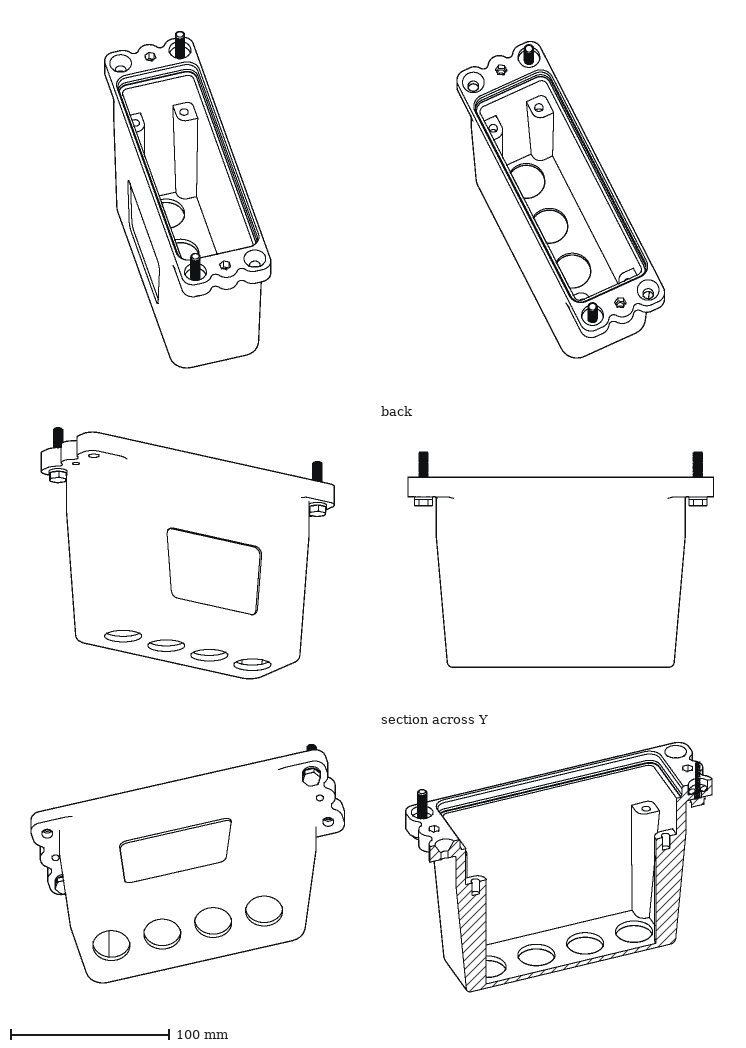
import cadquery as cq
import math


length = 193.0
width = 57.9
flange_thickness = 12.4
corner_radius = 7.1
lobe_center_x = length / 2 - corner_radius
boss_lobe_y = 17.2
notch_radius = 3.0

height = 120.0
box_half_length = 78.7
box_corner_radius = 11.0
taper_start_z = -36.7
taper = math.tan(math.radians(5.0))
bottom_fillet = 3.7
flange_fillet = 1.0

fixing_x = 86.7
fixing_y = 19.5
fixing_hole_diameter = 6.8
countersink_diameter = 13.7
countersink_depth = 7.0
ring_bore_depth = 7.7
hex_flats = 6.2
hex_depth = 6.2
hex_hole_diameter = 4.5

mouth_half_length = 76.6
mouth_half_width = 27.0
mouth_corner_radius = 8.1
lead_in_inset = 1.0
lead_in_depth = 1.5
mouth_wall_height = 4.8
seat_edge_inset = 0.8
seat_edge_depth = 1.2
seat_step = 0.5
pocket_half_length = 72.0
pocket_half_width = 23.4
pocket_corner_radius = 3.9
pocket_kink_z = -35.9
pocket_floor_z = -116.4
pocket_side_draft = 1.2
floor_hole_diameter = 23.4
floor_hole_pitch = 33.4
floor_hole_count = 4

boss_inner_x = 57.9
boss_inner_y = 10.6
boss_radius = 5.8
boss_hole_x = 65.0
boss_hole_y = 16.0
boss_hole_diameter = 5.2
boss_hole_depth = 9.6

label_top_z = -52.5
label_height = 46.0
label_top_width = 74.1
label_radius = 4.8
label_depth = 1.7

thread_diameter = 6.0
thread_root_diameter = 4.8
thread_pitch = 1.0
thread_crest_share = 1 / 8
thread_root_share = 1 / 4
screw_tip_z = 16.0
screw_tip_chamfer = 0.8
collar_diameter = 11.5
collar_thickness = 1.7
head_flats = 10.0
head_corners = head_flats / math.cos(math.pi / 6)
head_height = 5.8
head_chamfer = 0.4
ring_tube_radius = (countersink_diameter - thread_diameter) / 4
ring_center_radius = (countersink_diameter + thread_diameter) / 4

side_signs = (-1, 1)
screw_spots = [(-fixing_x, fixing_y), (fixing_x, -fixing_y)]
countersink_spots = [(-fixing_x, -fixing_y), (fixing_x, fixing_y)]


def cylinder(diameter, top_z, depth, x, y):
    """Vertical cylinder that runs down from top_z."""
    return cq.Workplane("XY", origin=(x, y, top_z)).circle(diameter / 2).extrude(-depth)


def edge_notch(x_sign, y_sign):
    """Notch in a flange end, between the middle lobe and a screw lobe, tangent to both."""
    center_y = boss_lobe_y / 2
    reach = math.sqrt((corner_radius + notch_radius) ** 2 - center_y ** 2)
    center_x = lobe_center_x + reach
    end_x = length / 2
    share = corner_radius / (corner_radius + notch_radius)
    tangent_x = lobe_center_x + share * reach
    lobe_tangent_y = share * center_y
    boss_tangent_y = boss_lobe_y - lobe_tangent_y
    half_turn = math.atan2(lobe_tangent_y, tangent_x - lobe_center_x) / 2
    lobe_mid_x = lobe_center_x + corner_radius * math.cos(half_turn)
    lobe_mid_y = corner_radius * math.sin(half_turn)

    def place(x, y):
        return (x_sign * x, y_sign * y)

    return (
        cq.Workplane("XY")
        .moveTo(*place(end_x, 0))
        .threePointArc(place(lobe_mid_x, lobe_mid_y), place(tangent_x, lobe_tangent_y))
        .threePointArc(place(center_x - notch_radius, center_y), place(tangent_x, boss_tangent_y))
        .threePointArc(place(lobe_mid_x, boss_lobe_y - lobe_mid_y), place(end_x, boss_lobe_y))
        .close()
        .extrude(-flange_thickness)
    )


def make_flange():
    plate = cq.Workplane("XY").rect(length, width).extrude(-flange_thickness)
    flange = plate.edges("|Z").fillet(corner_radius)
    for x_sign in side_signs:
        for y_sign in side_signs:
            flange = flange.cut(edge_notch(x_sign, y_sign))
    return flange


def make_box():
    """Box with upright ends above and tapered ends below, rounded all round."""
    foot_half_length = box_half_length - (height + taper_start_z) * taper
    box = (
        cq.Workplane("XZ", origin=(0, width / 2, 0))
        .polyline([
            (-box_half_length, -flange_thickness),
            (box_half_length, -flange_thickness),
            (box_half_length, taper_start_z),
            (foot_half_length, -height),
            (-foot_half_length, -height),
            (-box_half_length, taper_start_z),
        ])
        .close()
        .extrude(width)
    )
    box = box.faces("<Y or >Y").edges("not |X").fillet(box_corner_radius)
    return box.faces("<Z").edges().fillet(bottom_fillet)


def blend_under_flange(box):
    """Fillet the box all round into a wide plate of flange thickness, then trim it to the flange width."""
    reach = box_half_length + flange_fillet
    wide_plate = cq.Workplane("XY").rect(4 * reach, 4 * width).extrude(-flange_thickness)
    blended = wide_plate.union(box)
    joint_zone = cq.selectors.BoxSelector(
        (-reach, -width, -flange_thickness - flange_fillet),
        (reach, width, -flange_thickness + flange_fillet),
    )
    blended = blended.edges(joint_zone).edges("#Z").fillet(flange_fillet)
    trim = cq.Workplane("XY").rect(2 * reach, width).extrude(-height)
    return blended.intersect(trim)


def mouth_outline(inset):
    """Rounded rectangle that lies inside the top edge of the mouth by the inset."""
    outline = cq.Sketch().rect(2 * (mouth_half_length - inset), 2 * (mouth_half_width - inset))
    return outline.vertices().fillet(mouth_corner_radius - inset)


def taper_between(upper_outline, upper_z, lower_outline, lower_z):
    """Solid between two outlines, one above the other."""
    return cq.Workplane("XY").placeSketch(
        upper_outline.moved(cq.Location(cq.Vector(0, 0, upper_z))),
        lower_outline.moved(cq.Location(cq.Vector(0, 0, lower_z))),
    ).loft(ruled=True)


def make_mouth():
    """Stepped opening: lead-in, upright wall, sloped seat edge, then a short step down to the seat."""
    wall = mouth_outline(lead_in_inset)
    seat = mouth_outline(lead_in_inset + seat_edge_inset)
    wall_bottom = -lead_in_depth - mouth_wall_height
    seat_edge_bottom = wall_bottom - seat_edge_depth

    mouth = taper_between(mouth_outline(0), 0, wall, -lead_in_depth)
    mouth = mouth.union(taper_between(wall, -lead_in_depth, wall, wall_bottom))
    mouth = mouth.union(taper_between(wall, wall_bottom, seat, seat_edge_bottom))
    return mouth.union(taper_between(seat, seat_edge_bottom, seat, seat_edge_bottom - seat_step))


def make_boss(x_sign, y_sign):
    """Corner boss with a rounded inner edge, reaching into the walls behind it."""
    outer_x = box_half_length
    outer_y = width / 2
    boss = (
        cq.Workplane("XY", origin=(0, 0, pocket_kink_z))
        .polyline([
            (x_sign * boss_inner_x, y_sign * boss_inner_y),
            (x_sign * outer_x, y_sign * boss_inner_y),
            (x_sign * outer_x, y_sign * outer_y),
            (x_sign * boss_inner_x, y_sign * outer_y),
        ])
        .close()
        .extrude(pocket_floor_z - pocket_kink_z)
    )
    inner_edge = boss.edges("|Z").edges(cq.selectors.NearestToPointSelector(
        (x_sign * boss_inner_x, y_sign * boss_inner_y, (pocket_kink_z + pocket_floor_z) / 2)
    ))
    return inner_edge.fillet(boss_radius)


def make_pocket():
    """Inside of the box; the corner bosses are left standing in its tapered lower part."""
    floor_half_length = pocket_half_length - (pocket_kink_z - pocket_floor_z) * taper
    floor_half_width = pocket_half_width - pocket_side_draft
    lengthwise = (
        cq.Workplane("XZ", origin=(0, width / 2, 0))
        .polyline([
            (-pocket_half_length, 0),
            (pocket_half_length, 0),
            (pocket_half_length, pocket_kink_z),
            (floor_half_length, pocket_floor_z),
            (-floor_half_length, pocket_floor_z),
            (-pocket_half_length, pocket_kink_z),
        ])
        .close()
        .extrude(width)
    )
    crosswise = (
        cq.Workplane("YZ", origin=(-length / 2, 0, 0))
        .polyline([
            (-pocket_half_width, 0),
            (pocket_half_width, 0),
            (floor_half_width, pocket_floor_z),
            (-floor_half_width, pocket_floor_z),
        ])
        .close()
        .extrude(length)
    )
    pocket = lengthwise.intersect(crosswise)
    corner_edges = pocket.faces("<X or >X").edges("not |Y")
    pocket = corner_edges.fillet(pocket_corner_radius)
    for x_sign in side_signs:
        for y_sign in side_signs:
            pocket = pocket.cut(make_boss(x_sign, y_sign))
    return pocket


def cut_flange_holes(housing):
    """Countersunk holes, screw holes with ring bores, and hexagon sockets with through holes."""
    for x, y in countersink_spots:
        housing = housing.cut(cylinder(fixing_hole_diameter, 0, flange_thickness, x, y))
        cone = cq.Solid.makeCone(
            countersink_diameter / 2, fixing_hole_diameter / 2, countersink_depth,
            cq.Vector(x, y, 0), cq.Vector(0, 0, -1),
        )
        housing = housing.cut(cq.Workplane(cone))
    for x, y in screw_spots:
        housing = housing.cut(cylinder(fixing_hole_diameter, 0, flange_thickness, x, y))
        housing = housing.cut(cylinder(countersink_diameter, 0, ring_bore_depth, x, y))
    for x_sign in side_signs:
        x = x_sign * fixing_x
        housing = housing.cut(cylinder(hex_hole_diameter, 0, flange_thickness, x, 0))
        hexagon = cq.Workplane("XY", origin=(x, 0, 0)).polygon(6, hex_flats / math.cos(math.pi / 6))
        housing = housing.cut(hexagon.extrude(-hex_depth))
    return housing


def cut_inner_holes(housing):
    """Blind holes in the boss tops and the row of holes through the floor."""
    for x_sign in side_signs:
        for y_sign in side_signs:
            x = x_sign * boss_hole_x
            y = y_sign * boss_hole_y
            housing = housing.cut(cylinder(boss_hole_diameter, pocket_kink_z, boss_hole_depth, x, y))
    floor_thickness = height + pocket_floor_z
    for index in range(floor_hole_count):
        x = (index - (floor_hole_count - 1) / 2) * floor_hole_pitch
        housing = housing.cut(cylinder(floor_hole_diameter, pocket_floor_z, floor_thickness, x, 0))
    return housing


def make_label_recess():
    """Shallow recess whose sides lean like the ends of the box."""
    bottom_z = label_top_z - label_height
    half_top = label_top_width / 2
    half_bottom = half_top - label_height * taper
    return (
        cq.Workplane("XZ", origin=(0, -width / 2, 0))
        .polyline([
            (-half_top, label_top_z),
            (half_top, label_top_z),
            (half_bottom, bottom_z),
            (-half_bottom, bottom_z),
        ])
        .close()
        .extrude(-label_depth)
        .edges("not #Y")
        .fillet(label_radius)
    )


def make_housing():
    housing = make_flange().union(blend_under_flange(make_box()))
    housing = housing.cut(make_mouth()).cut(make_pocket()).cut(make_label_recess())
    return cut_inner_holes(cut_flange_holes(housing))


def make_screw(x, y):
    """Hex screw, head under the flange, with its thread as a stack of ring grooves."""
    tip_radius = thread_diameter / 2 - screw_tip_chamfer
    crest = thread_diameter / 2
    root = thread_root_diameter / 2
    thread_start_z = -flange_thickness
    thread_length = screw_tip_z - screw_tip_chamfer - thread_start_z
    groove_width = thread_pitch * (1 - thread_crest_share)
    groove_flank = (groove_width - thread_pitch * thread_root_share) / 2
    groove_count = int(thread_length / thread_pitch)
    outline = [(0, thread_start_z), (crest, thread_start_z)]
    for groove in range(groove_count):
        groove_z = thread_start_z + groove * thread_pitch
        outline.append((root, groove_z + groove_flank))
        outline.append((root, groove_z + groove_width - groove_flank))
        outline.append((crest, groove_z + groove_width))
        outline.append((crest, groove_z + thread_pitch))
    outline += [
        (crest, screw_tip_z - screw_tip_chamfer),
        (tip_radius, screw_tip_z),
        (0, screw_tip_z),
    ]
    shank = cq.Workplane("XZ").polyline(outline).close().revolve()

    collar = cylinder(collar_diameter, -flange_thickness, collar_thickness, 0, 0)
    hexagon = (
        cq.Workplane("XY", origin=(0, 0, -flange_thickness - collar_thickness))
        .polygon(6, head_corners)
        .extrude(collar_thickness - head_height)
    )
    corner_trim = cylinder(head_corners, -flange_thickness, head_height, 0, 0)
    corner_trim = corner_trim.faces("<Z").edges().chamfer(head_chamfer)
    head = collar.union(hexagon.intersect(corner_trim))
    return shank.union(head).translate((x, y, 0))


def make_sealing_ring(x, y):
    """Ring around a screw thread, lying on the floor of its bore."""
    ring = cq.Solid.makeTorus(
        ring_center_radius, ring_tube_radius, cq.Vector(x, y, ring_tube_radius - ring_bore_depth)
    )
    return cq.Workplane(ring)


housing = make_housing()
screws = [make_screw(x, y) for x, y in screw_spots]
sealing_rings = [make_sealing_ring(x, y) for x, y in screw_spots]

result = cq.Compound.makeCompound([
    housing.val(),
    *[screw.val() for screw in screws],
    *[ring.val() for ring in sealing_rings],
])